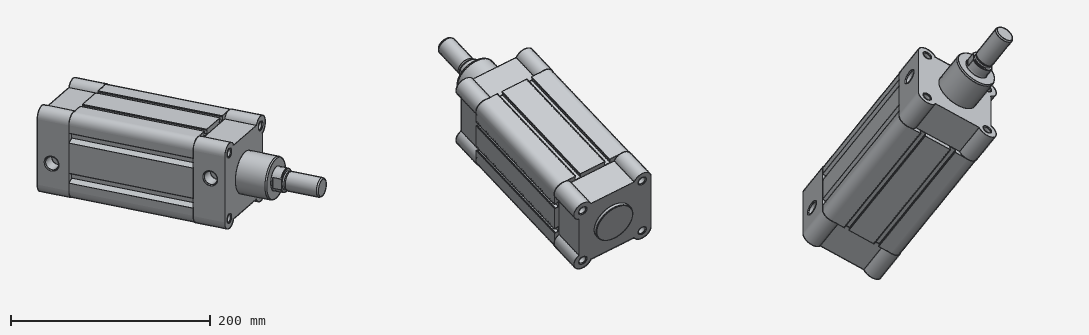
import cadquery as cq
import math


LENGTH = 298.0
CAP_LENGTH = 35.2
CAP_REAR = 4.0
BARREL_START = CAP_REAR + CAP_LENGTH
BARREL_LENGTH = 138.0
BARREL_END = BARREL_START + BARREL_LENGTH
CAP_FRONT = BARREL_END + CAP_LENGTH
NOSE_FRONT = 246.7

CAP_SIDE = 94.0
BOLT_OFFSET = 36.0
LOBE_RADIUS = CAP_SIDE / 2 - BOLT_OFFSET
RECESS_DEPTH = 6.3
BOLT_HOLE_DIAMETER = 8.3
BOLT_MOUTH_DIAMETER = 10.0
PORT_DIAMETER = 14.3
PORT_MOUTH_DIAMETER = 16.5
PORT_DEPTH = 15.0
PORT_INSET = 16.0
PORT_HEIGHT = 9.5

COLLAR_RADIUS = 22.4
REAR_COLLAR_CHAMFER = 0.5
NOSE_CHAMFER_LENGTH = 1.8
NOSE_CHAMFER_DEPTH = 0.5

BARREL_SIDE = 93.0
BARREL_CORNER_RADIUS = BARREL_SIDE / 2 - BOLT_OFFSET
T_SLOT_OFFSET = 18.0
T_SLOT_MOUTH = 5.5
T_SLOT_WIDTH = 6.5
T_SLOT_LIP = 1.2
T_SLOT_DEPTH = 5.0
V_SLOT_OFFSET = 22.0
V_SLOT_MOUTH = 10.7
V_SLOT_FLOOR = 4.8
V_SLOT_DEPTH = 6.3

ROD_RADIUS = 12.5
ROD_ROOT_RADIUS = 12.8
ROD_SHOULDER = 258.0
ROD_CHAMFER_LENGTH = 1.0
ROD_CHAMFER_DEPTH = 0.3
FLATS_START = 248.2
FLATS_WIDTH = 22.0
THREAD_RADIUS = 10.0
THREAD_START = 261.5
THREAD_CHAMFER_LENGTH = 1.8
THREAD_CHAMFER_DEPTH = 1.0
NECK_MIDDLE = 260.0
NECK_END_RADIUS = 9.8
NECK_RADIUS = 9.2


def box_between(x, y, z):
    """Box from (low, high) limits along X, Y and Z."""
    size = [high - low for low, high in (x, y, z)]
    return cq.Workplane("XY").box(*size, centered=False).translate((x[0], y[0], z[0]))


def revolved(profile):
    """Solid of revolution about the X axis from (x, radius) points."""
    return cq.Workplane("XY").polyline(profile).close().revolve(360, (0, 0, 0), (1, 0, 0))


def conical_mouth_hole(origin, direction, diameter, mouth_diameter, depth):
    """Cutter for a hole with a 45 degree countersunk mouth at `origin`."""
    radius = diameter / 2
    mouth_radius = mouth_diameter / 2
    start = cq.Vector(*origin)
    axis = cq.Vector(*direction)
    bore = cq.Solid.makeCylinder(radius, depth, start, axis)
    mouth = cq.Solid.makeCone(mouth_radius, radius, mouth_radius - radius, start, axis)
    return cq.Workplane(bore).union(cq.Workplane(mouth))


def make_cap(inner_x, outer_x, port_z):
    """End cap flat on -Y, with lobed corners elsewhere, bolt holes and a port on -Y."""
    span = (min(inner_x, outer_x), max(inner_x, outer_x))
    inward = math.copysign(1, inner_x - outer_x)
    half = CAP_SIDE / 2
    core = half - RECESS_DEPTH
    bolts = [(y, z) for y in (-BOLT_OFFSET, BOLT_OFFSET) for z in (-BOLT_OFFSET, BOLT_OFFSET)]

    cap = box_between(span, (-BOLT_OFFSET, core), (-core, core))
    cap = cap.union(box_between(span, (-half, -BOLT_OFFSET), (-BOLT_OFFSET, BOLT_OFFSET)))
    for y, z in bolts:
        lobe = cq.Workplane("YZ", origin=(span[0], y, z)).circle(LOBE_RADIUS).extrude(CAP_LENGTH)
        cap = cap.union(lobe)
    for y, z in bolts:
        cap = cap.cut(conical_mouth_hole(
            (outer_x, y, z), (inward, 0, 0), BOLT_HOLE_DIAMETER, BOLT_MOUTH_DIAMETER, CAP_LENGTH))
    port_x = outer_x + inward * PORT_INSET
    return cap.cut(conical_mouth_hole(
        (port_x, -half, port_z), (0, 1, 0), PORT_DIAMETER, PORT_MOUTH_DIAMETER, PORT_DEPTH))


def make_rear_cap():
    """Rear end cap with its short round collar."""
    collar = revolved([
        (0, 0),
        (0, COLLAR_RADIUS - REAR_COLLAR_CHAMFER),
        (REAR_COLLAR_CHAMFER, COLLAR_RADIUS),
        (CAP_REAR, COLLAR_RADIUS),
        (CAP_REAR, 0),
    ])
    return make_cap(BARREL_START, CAP_REAR, -PORT_HEIGHT).union(collar)


def make_front_cap():
    """Front end cap with the long round nose that the rod leaves from."""
    nose = revolved([
        (CAP_FRONT, 0),
        (CAP_FRONT, COLLAR_RADIUS),
        (NOSE_FRONT - NOSE_CHAMFER_LENGTH, COLLAR_RADIUS),
        (NOSE_FRONT, COLLAR_RADIUS - NOSE_CHAMFER_DEPTH),
        (NOSE_FRONT, 0),
    ])
    return make_cap(BARREL_END, CAP_FRONT, PORT_HEIGHT).union(nose)


def t_slot():
    """T-slot cutter, sunk into the +Z side of the barrel at Y = 0."""
    top = BARREL_SIDE / 2
    span = (BARREL_START, BARREL_END)
    mouth = box_between(span, (-T_SLOT_MOUTH / 2, T_SLOT_MOUTH / 2), (top - T_SLOT_DEPTH, top))
    chamber = box_between(
        span, (-T_SLOT_WIDTH / 2, T_SLOT_WIDTH / 2), (top - T_SLOT_DEPTH, top - T_SLOT_LIP))
    return mouth.union(chamber)


def v_slot():
    """Cutter for a groove with sloping walls, sunk into the -Y side of the barrel at Z = 0."""
    face = -BARREL_SIDE / 2
    floor = face + V_SLOT_DEPTH
    return (
        cq.Workplane("YZ", origin=(BARREL_START, 0, 0))
        .polyline([
            (face, -V_SLOT_MOUTH / 2),
            (face, V_SLOT_MOUTH / 2),
            (floor, V_SLOT_FLOOR / 2),
            (floor, -V_SLOT_FLOOR / 2),
        ])
        .close()
        .extrude(BARREL_LENGTH)
    )


def make_barrel():
    """Extruded barrel with two T-slots on +Z, +Y and -Z, and two sloping grooves on -Y."""
    barrel = (
        cq.Workplane("YZ", origin=(BARREL_START, 0, 0))
        .rect(BARREL_SIDE, BARREL_SIDE)
        .extrude(BARREL_LENGTH)
        .edges("|X")
        .fillet(BARREL_CORNER_RADIUS)
    )
    for side in (-1, 1):
        slot = t_slot().translate((0, side * T_SLOT_OFFSET, 0))
        for turn in (0, -90, 180):
            barrel = barrel.cut(slot.rotate((0, 0, 0), (1, 0, 0), turn))
        barrel = barrel.cut(v_slot().translate((0, 0, side * V_SLOT_OFFSET)))
    return barrel


def make_rod():
    """Piston rod end: shank with two wrench flats, undercut neck and threaded end."""
    rod = revolved([
        (NOSE_FRONT, 0),
        (NOSE_FRONT, ROD_ROOT_RADIUS),
        (FLATS_START, ROD_RADIUS),
        (ROD_SHOULDER - ROD_CHAMFER_LENGTH, ROD_RADIUS),
        (ROD_SHOULDER, ROD_RADIUS - ROD_CHAMFER_DEPTH),
        (ROD_SHOULDER, NECK_END_RADIUS),
        (NECK_MIDDLE, NECK_RADIUS),
        (THREAD_START, THREAD_RADIUS),
        (LENGTH - THREAD_CHAMFER_LENGTH, THREAD_RADIUS),
        (LENGTH, THREAD_RADIUS - THREAD_CHAMFER_DEPTH),
        (LENGTH, 0),
    ])
    flats = (FLATS_START, ROD_SHOULDER)
    reach = (-ROD_RADIUS, ROD_RADIUS)
    rod = rod.cut(box_between(flats, (FLATS_WIDTH / 2, ROD_RADIUS), reach))
    return rod.cut(box_between(flats, (-ROD_RADIUS, -FLATS_WIDTH / 2), reach))


rear_cap = make_rear_cap()
barrel = make_barrel()
front_cap = make_front_cap()
rod = make_rod()

result = cq.Compound.makeCompound([rear_cap.val(), barrel.val(), front_cap.val(), rod.val()])